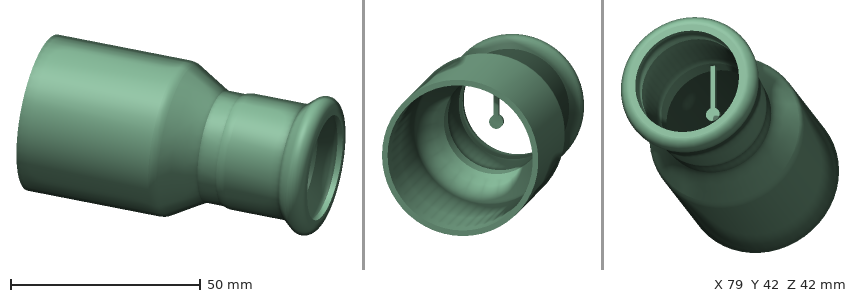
import cadquery as cq
import math

length = 79.0
wall = 1.5

spigot_radius = 21.0
neck_radius = 15.1
socket_radius = 15.65
bead_radius = 18.7

spigot_end = 36.9
neck_start = 48.6
neck_end = 53.8
socket_start = 56.4

shoulder_round = 4.9
bead_round = 2.85
bead_angle = math.radians(40)

key_disc_diameter = 3.7
stem_width = 1.35
key_thickness = 1.5

shoulder_center = (spigot_end, spigot_radius - shoulder_round)
corner_dx = neck_start - shoulder_center[0]
corner_dr = neck_radius - shoulder_center[1]
corner_distance = math.hypot(corner_dx, corner_dr)
corner_angle = math.atan2(corner_dx, corner_dr)
cone_angle = corner_angle - math.acos(shoulder_round / corner_distance)
bead_center = (length - bead_round, bead_radius - bead_round)


def arc_point(center, radius, angle):
    """Point on an arc; the angle is measured from the radial direction toward +X."""
    return (center[0] + radius * math.sin(angle), center[1] + radius * math.cos(angle))


def skin(inset):
    """Wall surface from the spigot end to the side of the bead, moved inward by inset."""
    shoulder = shoulder_round - inset
    bead = bead_round - inset
    neck = neck_radius - inset
    socket = socket_radius - inset
    neck_corner = neck_start - inset * math.tan(cone_angle / 2)
    step_length = socket_start - neck_end
    step_height = socket - neck
    step_round = (step_length**2 + step_height**2) / (2 * step_height)
    step_center = (socket_start, socket - step_round)
    step_angle = math.asin(step_length / step_round)
    flare_end = arc_point(bead_center, bead, -bead_angle)
    socket_end = flare_end[0] - (flare_end[1] - socket) / math.tan(bead_angle)
    bead_middle = (math.pi / 2 - bead_angle) / 2
    return (
        cq.Workplane("XY")
        .moveTo(0, spigot_radius - inset)
        .lineTo(spigot_end, spigot_radius - inset)
        .threePointArc(
            arc_point(shoulder_center, shoulder, cone_angle / 2),
            arc_point(shoulder_center, shoulder, cone_angle),
        )
        .lineTo(neck_corner, neck)
        .lineTo(neck_end, neck)
        .threePointArc(arc_point(step_center, step_round, -step_angle / 2), (socket_start, socket))
        .lineTo(socket_end, socket)
        .lineTo(*flare_end)
        .threePointArc(
            arc_point(bead_center, bead, bead_middle),
            arc_point(bead_center, bead, math.pi / 2),
        )
    )


def revolve_skin(inset, mouth_radius):
    """Solid enclosed by a wall surface, with its bead side dropping to the mouth radius."""
    end = bead_center[0] + bead_round - inset
    outline = skin(inset).lineTo(end, mouth_radius).lineTo(end, 0).lineTo(0, 0).close()
    return outline.revolve(360, (0, 0), (1, 0))


def make_key():
    key_start = (neck_start + neck_end - key_thickness) / 2
    stem_length = neck_radius - wall / 2
    plane = cq.Workplane("YZ", origin=(key_start, 0, 0))
    disc = plane.circle(key_disc_diameter / 2).extrude(key_thickness)
    stem = plane.center(0, stem_length / 2).rect(stem_width, stem_length).extrude(key_thickness)
    return disc.union(stem)


socket_bore = socket_radius - wall
mouth = cq.Workplane("YZ", origin=(length - wall, 0, 0)).circle(socket_bore).extrude(wall)

body = revolve_skin(0, socket_bore)
cavity = revolve_skin(wall, socket_bore)
result = body.cut(cavity).cut(mouth).union(make_key())